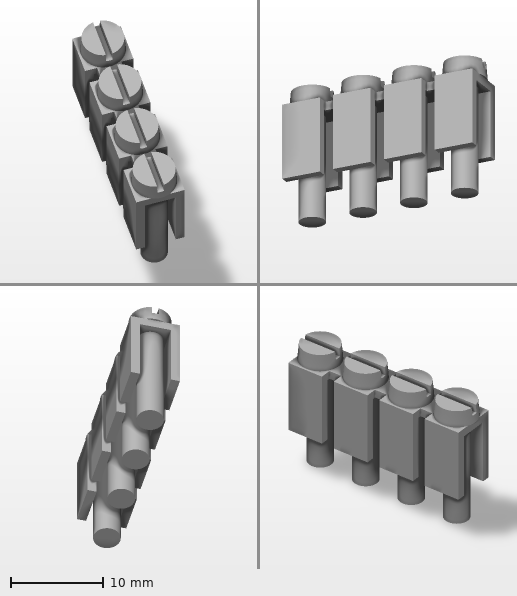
import cadquery as cq

screw_count = 4
pitch = 6.15

head_base_diameter = 5.01
head_top_diameter = 4.66
head_height = 2.0
slot_width = 0.77
slot_depth = 1.0

shank_diameter = 3.0
shank_protrusion = 4.5

clamp_width = 4.55
clamp_depth = 5.5
clamp_height = 8.72
wall = 1.0

link_depth = 2.76

row_length = (screw_count - 1) * pitch


def block(length, depth, top, height):
    """Box centred in X and Y, hanging down from the given top."""
    return (
        cq.Workplane("XY", origin=(0, 0, top - height))
        .box(length, depth, height, centered=(True, True, False))
    )


def make_clamp():
    opening = block(clamp_width, clamp_depth - 2 * wall, -wall, clamp_height - wall)
    return block(clamp_width, clamp_depth, 0, clamp_height).cut(opening)


def make_screw():
    head = (
        cq.Workplane("XY")
        .circle(head_base_diameter / 2)
        .workplane(offset=head_height)
        .circle(head_top_diameter / 2)
        .loft(ruled=True)
    )
    slot = block(head_base_diameter, slot_width, head_height, slot_depth)
    shank_length = clamp_height + shank_protrusion
    shank = cq.Workplane("XY").circle(shank_diameter / 2).extrude(-shank_length)
    return head.cut(slot).union(shank)


result = block(row_length, link_depth, 0, wall)

station = make_clamp().union(make_screw())
for index in range(screw_count):
    x = index * pitch - row_length / 2
    result = result.union(station.translate((x, 0, 0)))